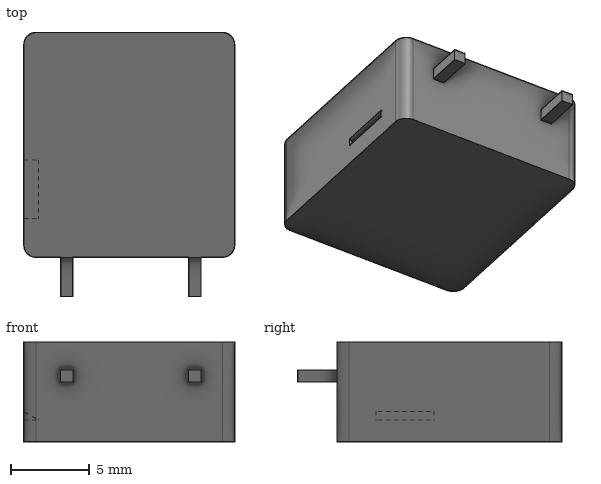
import cadquery as cq

body_width = 13.5
total_length = 16.9
body_height = 6.4
corner_radius = 0.8

pin_length = 2.5
pin_size = 0.8
pin_spacing = 8.2
first_pin_x = 2.75
pin_center_z = 4.22

slot_front_offset = 2.5
slot_length = 3.72
slot_bottom = 1.42
slot_height = 0.52
slot_depth = 0.93

body_length = total_length - pin_length


def make_body():
    """Block with its -X, -Y, -Z corner at the origin and rounded upright edges."""
    block = cq.Workplane("XY").box(body_width, body_length, body_height, centered=False)
    return block.edges("|Z").fillet(corner_radius)


def make_pin(center_x):
    """Square pin reaching from the front face toward -Y."""
    return (
        cq.Workplane("XZ")
        .center(center_x, pin_center_z)
        .rect(pin_size, pin_size)
        .extrude(pin_length)
    )


def make_slot():
    """Wedge cut into the -X face: flat floor, ceiling sloping down to meet it at full depth."""
    return (
        cq.Workplane("XZ", origin=(0, slot_front_offset, slot_bottom))
        .lineTo(slot_depth, 0)
        .lineTo(0, slot_height)
        .close()
        .extrude(-slot_length)
    )


result = make_body().cut(make_slot())
for pin_x in (first_pin_x, first_pin_x + pin_spacing):
    result = result.union(make_pin(pin_x))